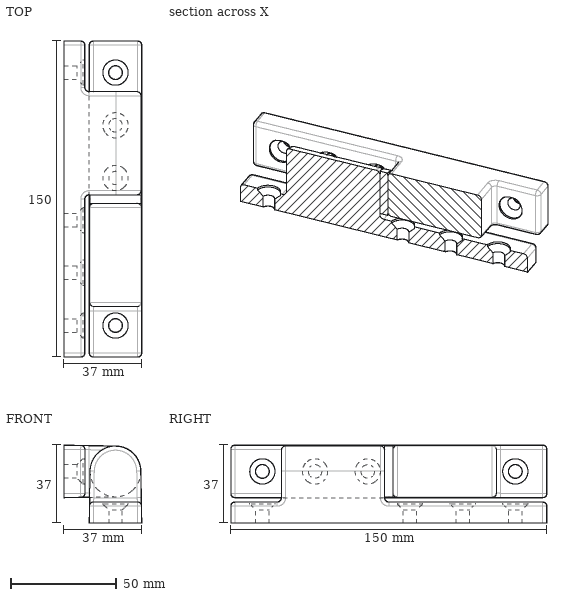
import cadquery as cq
import math


hinge_length = 150.0
leaf_width = 25.0
half_width = leaf_width / 2
leaf_offset = 12.0
axis_height = leaf_offset + half_width

plate_thickness = 10.0
draft_angle = 1.0
edge_radius = 2.0
knuckle_near_end = 24.0
knuckle_far_end = 73.0
overcut = 1.0

spacer_thickness = hinge_length - 2 * knuckle_far_end

end_margin = 15.0
hole_stations = (end_margin, 85.0, 110.0, hinge_length - end_margin)
hole_diameter = 6.4
countersink_diameter = 12.0
countersink_angle = 90.0
head_recess_depth = 1.0

draft = math.radians(draft_angle)
knuckle_radius = half_width * math.cos(draft) - axis_height * math.sin(draft)
tangent_x = knuckle_radius * math.cos(draft)
tangent_z = axis_height + knuckle_radius * math.sin(draft)
knuckle_top = axis_height + knuckle_radius


def full_length_knuckle():
    """Drafted sides closed by a round top, run along the full length of the leaf."""
    return (
        cq.Workplane("XZ")
        .moveTo(-half_width, 0)
        .lineTo(half_width, 0)
        .lineTo(tangent_x, tangent_z)
        .threePointArc((0, knuckle_top), (-tangent_x, tangent_z))
        .close()
        .extrude(-hinge_length)
    )


def side_outline():
    """The plate with the knuckle block standing on it, as a slab wider than the leaf."""
    block_top = knuckle_top + overcut
    return (
        cq.Workplane("YZ")
        .moveTo(0, 0)
        .lineTo(hinge_length, 0)
        .lineTo(hinge_length, plate_thickness)
        .lineTo(knuckle_far_end, plate_thickness)
        .lineTo(knuckle_far_end, block_top)
        .lineTo(knuckle_near_end, block_top)
        .lineTo(knuckle_near_end, plate_thickness)
        .lineTo(0, plate_thickness)
        .close()
        .extrude(half_width + overcut, both=True)
    )


def make_leaf():
    """A leaf with its mounting face on Z = 0 and the hinge axis above X = 0."""
    leaf = full_length_knuckle().intersect(side_outline())

    around_roots = cq.selectors.BoxSelector(
        (-half_width, knuckle_near_end - overcut, plate_thickness - overcut),
        (half_width, knuckle_far_end + overcut, plate_thickness + overcut),
    )
    leaf = leaf.edges("|X").edges(around_roots).fillet(edge_radius)

    leaf = leaf.faces("<Y or >Y").edges("not |X").fillet(edge_radius)

    leaf = leaf.edges("%CIRCLE").edges(">Z").fillet(edge_radius)

    hole_centers = [(0, station) for station in hole_stations]
    plate_top = cq.Workplane("XY", origin=(0, 0, plate_thickness))
    recesses = (
        plate_top.pushPoints(hole_centers)
        .circle(countersink_diameter / 2)
        .extrude(-head_recess_depth)
    )
    return (
        leaf.cut(recesses)
        .copyWorkplane(plate_top.workplane(offset=-head_recess_depth))
        .pushPoints(hole_centers)
        .cskHole(hole_diameter, countersink_diameter, countersink_angle)
    )


def make_spacer():
    """A disc on the hinge axis that fills the gap between the two knuckles."""
    return (
        cq.Workplane("XZ", origin=(axis_height, knuckle_far_end, axis_height))
        .circle(knuckle_radius)
        .extrude(-spacer_thickness)
    )


def lay_flat(leaf):
    """Place a leaf with its mounting face on Z = 0 and its knuckle towards Y = 0."""
    return leaf.translate((axis_height, 0, 0))


def stand_upright(leaf):
    """Place a leaf with its mounting face on X = 0 and its knuckle on the other half of Y."""
    half_turn = 180
    swapped = leaf.rotate((0, 0, 0), (1, 0, 1), half_turn)
    return swapped.translate((0, hinge_length, axis_height))


leaves = [place(make_leaf()) for place in (lay_flat, stand_upright)]
spacer = make_spacer()

result = cq.Compound.makeCompound([*(leaf.val() for leaf in leaves), spacer.val()])